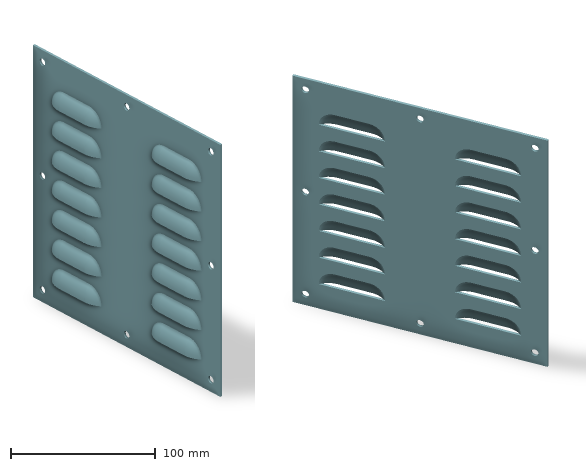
import cadquery as cq

plate_width = 190.5
plate_height = 200.0
sheet_thickness = 1.8
front_y = -sheet_thickness / 2
back_y = sheet_thickness / 2

hole_diameter = 5.6
hole_inset = 9.6
hole_x = plate_width / 2 - hole_inset
hole_z = plate_height / 2 - hole_inset

row_count = 7
column_x = 50.8
lowest_opening_margin = 21.6
lowest_opening_z = lowest_opening_margin - plate_height / 2
row_span = 141.0
row_pitch = row_span / (row_count - 1)

hood_length = 50.8
hood_straight = 25.5
hood_height = (hood_length - hood_straight) / 2
hood_depth = 4.8

outer_radius = (hood_height**2 + hood_depth**2) / (2 * hood_depth)
inner_radius = outer_radius - sheet_thickness
arc_center_y = front_y - hood_depth + outer_radius


def make_plate():
    """Flat plate with its mounting holes."""
    plate = cq.Workplane("XY").box(plate_width, sheet_thickness, plate_height)
    positions = [
        (x, z)
        for x in (-hole_x, 0, hole_x)
        for z in (-hole_z, 0, hole_z)
        if (x, z) != (0, 0)
    ]
    holes = cq.Workplane("XZ").pushPoints(positions).circle(hole_diameter / 2)
    return plate.cut(holes.extrude(sheet_thickness, both=True))


def make_hood_body(radius, rear_y):
    """Round-ended bar of the given radius, kept above z = 0 and in front of rear_y."""
    body = cq.Workplane("YZ").circle(radius).extrude(hood_straight / 2, both=True)
    for end_x in (-hood_straight / 2, hood_straight / 2):
        body = body.union(cq.Workplane("XY").sphere(radius).translate((end_x, 0, 0)))
    body = body.translate((0, arc_center_y, 0))

    keep_size = hood_straight + 2 * radius
    keep = cq.Workplane("XY").box(keep_size, keep_size, keep_size, centered=(True, False, False))
    return body.intersect(keep.translate((0, rear_y - keep_size, 0)))


louver_positions = [
    (x, 0, lowest_opening_z + row * row_pitch)
    for x in (-column_x, column_x)
    for row in range(row_count)
]

hood = make_hood_body(outer_radius, front_y)
cavity = make_hood_body(inner_radius, back_y)

result = make_plate()
for position in louver_positions:
    result = result.union(hood.translate(position))
    result = result.cut(cavity.translate(position))
result = result.solids()